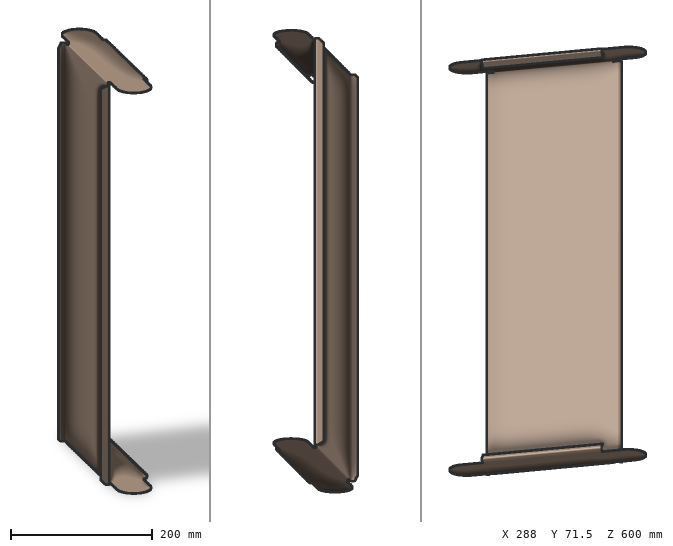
import cadquery as cq
import math

height = 600.0
sheet = 0.9
shelf_length = 288.0
shelf_width = 50.0
overall_depth = 71.5
panel_width = 199.0
tab_width = 176.5
panel_gap = 2.0
hook_depth = 12.5
hook_radius = 4.0
bend_radius = 2.5
shelf_front = 15.5
relief = 2.5
lip_end_cut = 6.0

panel_back = hook_depth
panel_front = panel_back - sheet
shelf_back = shelf_front + shelf_width
curl_centre_back = overall_depth - hook_radius


def curl(plane, length):
    """Strip curled 135 degrees: starts at the plane origin, bulges to +x, hangs to -y."""
    inner = hook_radius - sheet
    s = math.sqrt(0.5)
    drop = hook_depth - hook_radius * (1 + s)
    tip_x = hook_radius * s - drop
    tip_y = -hook_depth
    section = (
        cq.Workplane(plane)
        .moveTo(0, 0)
        .threePointArc((hook_radius, -hook_radius), (hook_radius * s, -hook_radius * (1 + s)))
        .lineTo(tip_x, tip_y)
        .lineTo(tip_x - sheet * s, tip_y + sheet * s)
        .lineTo(inner * s, -hook_radius - inner * s)
        .threePointArc((inner, -hook_radius), (0, -sheet))
        .close()
    )
    return section.extrude(length / 2, both=True)


def make_panel():
    """Front panel with a mitred curl along each long side."""
    flat_width = panel_width - 2 * hook_radius
    side_height = height - 2 * panel_gap
    panel = (
        cq.Workplane("XY")
        .box(flat_width, sheet, side_height)
        .translate((0, panel_back - sheet / 2, 0))
    )
    plane = cq.Plane((flat_width / 2, panel_back, 0), (1, 0, 0), (0, 0, 1))
    lip = curl(plane, side_height)
    half = side_height / 2
    mitre = (
        cq.Workplane("YZ")
        .polyline([(0, half - lip_end_cut), (lip_end_cut, half), (0, half)])
        .close()
        .extrude(panel_width)
    )
    lip = lip.cut(mitre).cut(mitre.mirror("XY"))
    return panel.union(lip).union(lip.mirror("YZ"))


def make_top_shelf():
    """Rounded shelf, its bend down to the panel and the curl along its back."""
    top = height / 2
    middle = (shelf_front + shelf_back) / 2
    shelf = (
        cq.Workplane("XY", origin=(0, middle, top - sheet))
        .slot2D(shelf_length, shelf_width)
        .extrude(sheet)
    )
    tab_front = panel_front + bend_radius
    half_tab = tab_width / 2
    tab = (
        cq.Workplane("XY", origin=(0, 0, top - sheet))
        .polyline([
            (-half_tab, tab_front),
            (-half_tab - relief, shelf_front),
            (-half_tab - relief, middle),
            (-half_tab, curl_centre_back),
            (half_tab, curl_centre_back),
            (half_tab + relief, middle),
            (half_tab + relief, shelf_front),
            (half_tab, tab_front),
        ])
        .close()
        .extrude(sheet)
    )
    inner = bend_radius - sheet
    s = math.sqrt(0.5)
    centre_z = top - bend_radius
    bend = (
        cq.Workplane("YZ")
        .moveTo(panel_front, centre_z)
        .threePointArc((tab_front - bend_radius * s, centre_z + bend_radius * s), (tab_front, top))
        .lineTo(tab_front, top - sheet)
        .threePointArc((tab_front - inner * s, centre_z + inner * s), (panel_back, centre_z))
        .close()
        .extrude(half_tab, both=True)
    )
    plane = cq.Plane((0, curl_centre_back, top), (0, 1, 0), (1, 0, 0))
    return shelf.union(tab).union(bend).union(curl(plane, tab_width))


def trim_panel_ends(panel):
    """Clear the flat panel above the start of the bends."""
    clear = cq.Workplane("XY").box(tab_width, 2 * sheet, bend_radius)
    for side in (-1, 1):
        panel = panel.cut(clear.translate((0, panel_front, side * (height - bend_radius) / 2)))
    return panel


top_shelf = make_top_shelf()
result = trim_panel_ends(make_panel()).union(top_shelf).union(top_shelf.mirror("XY"))